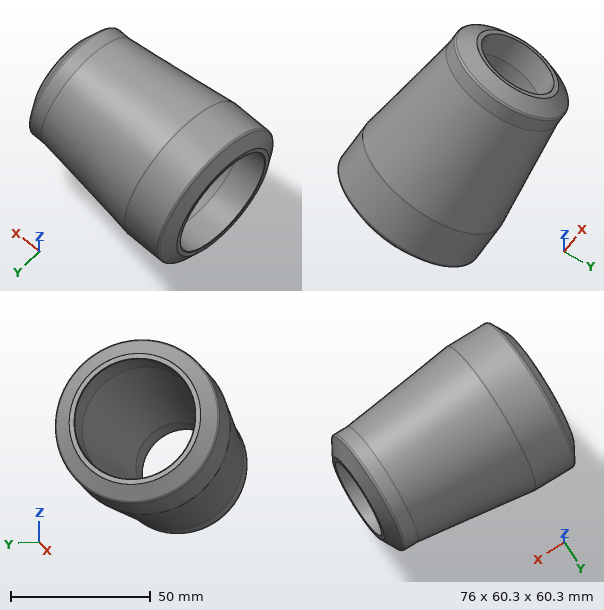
import cadquery as cq
import math

length = 76.0
large_diameter = 60.3
small_diameter = 48.3

taper_start = 20.15
taper_end = 66.1

bevel_angle = 30.0
large_face_diameter = 48.3
small_face_diameter = 34.7

edge_radius = 1.0

large_bore_diameter = 44.3
small_bore_diameter = 30.7
bore_taper_start = 12.0
bore_taper_end = taper_end
bore_mouth_chamfer = 0.2

match_tolerance = 0.01


def bevel_length(outer_diameter, face_diameter):
    """Axial length of a bevel between two diameters."""
    return (outer_diameter - face_diameter) / 2 * math.tan(math.radians(bevel_angle))


def revolve_profile(stations):
    """Solid of revolution about X through (x, diameter) stations."""
    outline = [(x, diameter / 2) for x, diameter in stations]
    start_x = stations[0][0]
    end_x = stations[-1][0]
    points = [(start_x, 0)] + outline + [(end_x, 0)]
    return cq.Workplane("XY").polyline(points).close().revolve(360, (0, 0, 0), (1, 0, 0))


body = revolve_profile([
    (0, large_face_diameter),
    (bevel_length(large_diameter, large_face_diameter), large_diameter),
    (taper_start, large_diameter),
    (taper_end, small_diameter),
    (length - bevel_length(small_diameter, small_face_diameter), small_diameter),
    (length, small_face_diameter),
])


def is_convex_rim(edge):
    """True for the bevel rims and the rim where the taper begins."""
    if edge.geomType() != "CIRCLE":
        return False
    on_large_cylinder = abs(edge.radius() - large_diameter / 2) < match_tolerance
    on_small_cylinder = abs(edge.radius() - small_diameter / 2) < match_tolerance
    past_taper = taper_end + match_tolerance < edge.Center().x < length - match_tolerance
    return on_large_cylinder or (on_small_cylinder and past_taper)


convex_rims = body.edges().filter(is_convex_rim)
body = convex_rims.fillet(edge_radius)

bore = revolve_profile([
    (0, large_bore_diameter + 2 * bore_mouth_chamfer),
    (bore_mouth_chamfer, large_bore_diameter),
    (bore_taper_start, large_bore_diameter),
    (bore_taper_end, small_bore_diameter),
    (length, small_bore_diameter),
])

result = body.cut(bore)